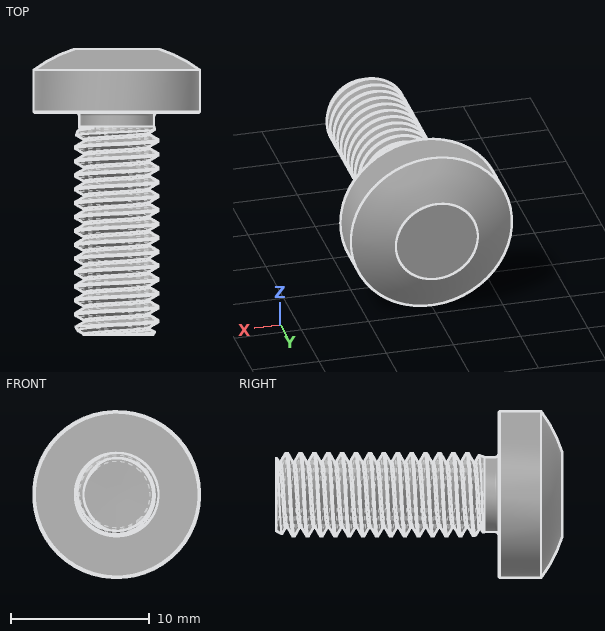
import cadquery as cq
import math

total_length = 20.6
head_height = 4.6
shank_length = total_length - head_height

head_radius = 6.005
head_flat_radius = 3.05
dome_radius = 10.0
head_edge_chamfer = 0.1

neck_radius = 2.7
neck_length = 1.0
neck_fillet = 0.25

pitch = 1.0
thread_radius = 3.0
root_radius = 2.39
crest_flat = pitch / 8
flank_angle = math.radians(30)
thread_depth = thread_radius - root_radius
root_flat = pitch - crest_flat - 2 * thread_depth * math.tan(flank_angle)

tip_radius = 2.62
tip_cone_angle = math.radians(30)
neck_cone_angle = math.radians(20)
dish_radius = 2.43
dish_depth = 0.12

runout_turns = 0.75
runout_rise = 0.41
runout_lead = 0.7
full_turns_end = neck_length + pitch / 2
groove_overcut = 0.06
rod_length = shank_length + 6 * pitch


def dome_drop(radius):
    """Distance of the dome surface below its own apex at a given radius."""
    return dome_radius - math.sqrt(dome_radius**2 - radius**2)


def make_head():
    """Head with a flat top, a domed shoulder and a chamfered underside edge."""
    rim_y = head_height - (dome_drop(head_radius) - dome_drop(head_flat_radius))
    mid_radius = (head_radius + head_flat_radius) / 2
    mid_y = head_height - (dome_drop(mid_radius) - dome_drop(head_flat_radius))
    profile = (
        cq.Workplane("XY")
        .lineTo(head_radius - head_edge_chamfer, 0)
        .lineTo(head_radius, head_edge_chamfer)
        .lineTo(head_radius, rim_y)
        .threePointArc((mid_radius, mid_y), (head_flat_radius, head_height))
        .lineTo(0, head_height)
        .close()
    )
    return profile.revolve(360, (0, 0, 0), (0, 1, 0))


def make_shank_envelope():
    """Shank before threading: filleted neck, thread cylinder and a cone at each thread end."""
    neck_cone = (thread_radius - neck_radius) / math.tan(neck_cone_angle)
    tip_cone = (thread_radius - tip_radius) / math.tan(tip_cone_angle)
    fillet_mid = neck_fillet * (1 - math.sqrt(0.5))
    profile = (
        cq.Workplane("XY")
        .lineTo(neck_radius + neck_fillet, 0)
        .threePointArc((neck_radius + fillet_mid, -fillet_mid), (neck_radius, -neck_fillet))
        .lineTo(neck_radius, -neck_length)
        .lineTo(thread_radius, -neck_length - neck_cone)
        .lineTo(thread_radius, -shank_length + tip_cone)
        .lineTo(tip_radius, -shank_length)
        .lineTo(dish_radius, -shank_length)
        .lineTo(0, -shank_length + dish_depth)
        .close()
    )
    return profile.revolve(360, (0, 0, 0), (0, 1, 0))


def sweep_groove(turns, lead, rise):
    """Groove swept along +Z from root_radius at +X; its floor moves out by rise over its length."""
    height = turns * lead
    if rise:
        taper = math.atan2(rise, height)
        slant = 1 / math.cos(taper)
        helix = cq.Wire.makeHelix(lead * slant, height * slant, root_radius, angle=math.degrees(taper))
    else:
        helix = cq.Wire.makeHelix(lead, height, root_radius)
    outer = thread_depth + groove_overcut
    half_root = root_flat / 2
    half_mouth = half_root + outer * math.tan(flank_angle)
    return (
        cq.Workplane("XZ")
        .polyline(
            [
                (root_radius, -half_root),
                (root_radius + outer, -half_mouth),
                (root_radius + outer, half_mouth),
                (root_radius, half_root),
            ]
        )
        .close()
        .sweep(cq.Workplane(helix), isFrenet=True)
    )


def cut_groove(rod):
    """Cut the full-depth turns, from beyond the tip, then the runout."""
    full_turns = math.ceil(shank_length / pitch)
    full_groove = sweep_groove(full_turns, pitch, 0).translate((0, 0, -full_turns * pitch))
    runout_groove = sweep_groove(runout_turns, runout_lead, runout_rise)
    for groove in (full_groove, runout_groove):
        placed = groove.rotate((0, 0, 0), (1, 0, 0), -90).translate((0, -full_turns_end, 0))
        rod = rod.cut(placed)
    return rod


def make_shank():
    """A threaded rod, longer than the shank, trimmed to the shank envelope."""
    rod = cq.Workplane("XZ").circle(thread_radius).extrude(rod_length)
    return cut_groove(rod).intersect(make_shank_envelope())


result = make_head().union(make_shank())